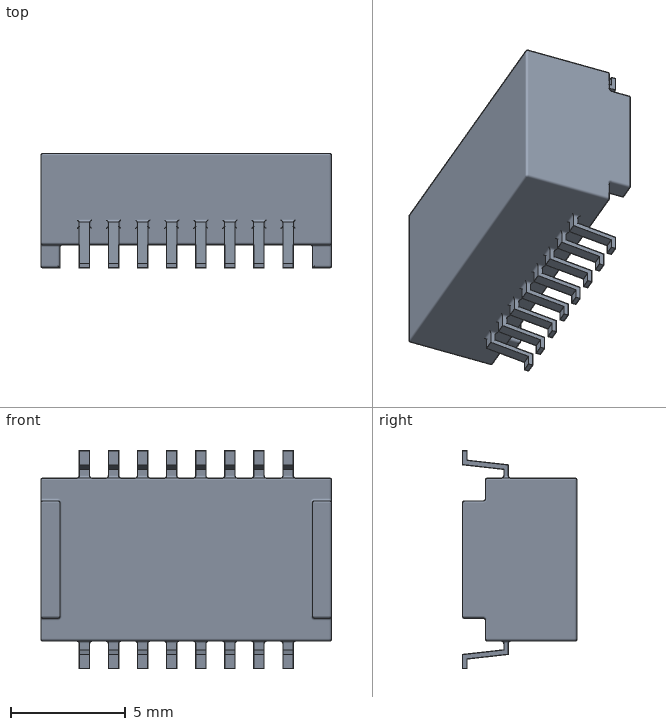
import cadquery as cq

HOUSING_WIDTH = 12.7
HOUSING_DEPTH = 4.0
HOUSING_HEIGHT = 7.12
EDGE_RADIUS = 0.1

FOOT_WIDTH = 0.84
FOOT_HEIGHT = 5.13
OVERALL_DEPTH = 5.0

LEAD_COUNT = 8
LEAD_PITCH = 1.27
LEAD_WIDTH = 0.46
LEAD_THICKNESS = 0.2
LEAD_SPAN = 9.52
LEAD_REACH = 2.01
LEAD_TIP_LENGTH = 0.62
LEAD_ARM_DROP = 0.2
LEAD_ROOT = 0.25

FRONT = -OVERALL_DEPTH
TOLERANCE = 0.001


def make_housing():
    """Block with two feet, rounded all over except the inner front edges of the feet."""
    block = cq.Workplane("XY").box(
        HOUSING_WIDTH, HOUSING_DEPTH, HOUSING_HEIGHT
    ).translate((0, -HOUSING_DEPTH / 2, 0))

    foot = cq.Workplane("XY").box(FOOT_WIDTH, OVERALL_DEPTH, FOOT_HEIGHT)
    foot_offset = (HOUSING_WIDTH - FOOT_WIDTH) / 2
    for side in (-1, 1):
        block = block.union(foot.translate((side * foot_offset, -OVERALL_DEPTH / 2, 0)))
    block = block.clean()

    inner_side = HOUSING_WIDTH / 2 - FOOT_WIDTH
    sharp_edges = cq.selectors.BoxSelector(
        (-inner_side - TOLERANCE, FRONT - TOLERANCE, -FOOT_HEIGHT),
        (inner_side + TOLERANCE, FRONT + TOLERANCE, FOOT_HEIGHT),
    )
    all_edges = cq.StringSyntaxSelector("%LINE")
    rounded_edges = cq.selectors.SubtractSelector(all_edges, sharp_edges)
    return block.edges(rounded_edges).fillet(EDGE_RADIUS)


def make_lead():
    """Upper lead centred on x = 0: stem, sloping arm and upright tip."""
    tip_top = LEAD_SPAN / 2
    tip_bottom = tip_top - LEAD_TIP_LENGTH
    arm_bottom = tip_bottom - LEAD_ARM_DROP
    stem_bottom = HOUSING_HEIGHT / 2 - LEAD_ROOT
    tip_back = FRONT + LEAD_THICKNESS
    stem_back = FRONT + LEAD_REACH
    stem_front = stem_back - LEAD_THICKNESS
    outline = [
        (FRONT, tip_top),
        (FRONT, tip_bottom),
        (stem_front, arm_bottom),
        (stem_front, stem_bottom),
        (stem_back, stem_bottom),
        (stem_back, arm_bottom + LEAD_THICKNESS),
        (tip_back, tip_bottom + LEAD_THICKNESS),
        (tip_back, tip_top),
    ]
    return cq.Workplane("YZ").polyline(outline).close().extrude(LEAD_WIDTH / 2, both=True)


def add_leads(housing):
    """Join both rows of leads and round the joints between stems and housing."""
    upper_lead = make_lead()
    lower_lead = upper_lead.mirror("XY")
    body = housing
    for index in range(LEAD_COUNT):
        x = (index - (LEAD_COUNT - 1) / 2) * LEAD_PITCH
        body = body.union(upper_lead.translate((x, 0, 0)))
        body = body.union(lower_lead.translate((x, 0, 0)))

    row_end = LEAD_COUNT * LEAD_PITCH / 2
    stem_back = FRONT + LEAD_REACH
    for side in (-1, 1):
        face_height = side * HOUSING_HEIGHT / 2
        joints = cq.selectors.BoxSelector(
            (-row_end, stem_back - LEAD_THICKNESS - TOLERANCE, face_height - TOLERANCE),
            (row_end, stem_back + TOLERANCE, face_height + TOLERANCE),
        )
        body = body.edges(joints).fillet(EDGE_RADIUS)
    return body


result = add_leads(make_housing())